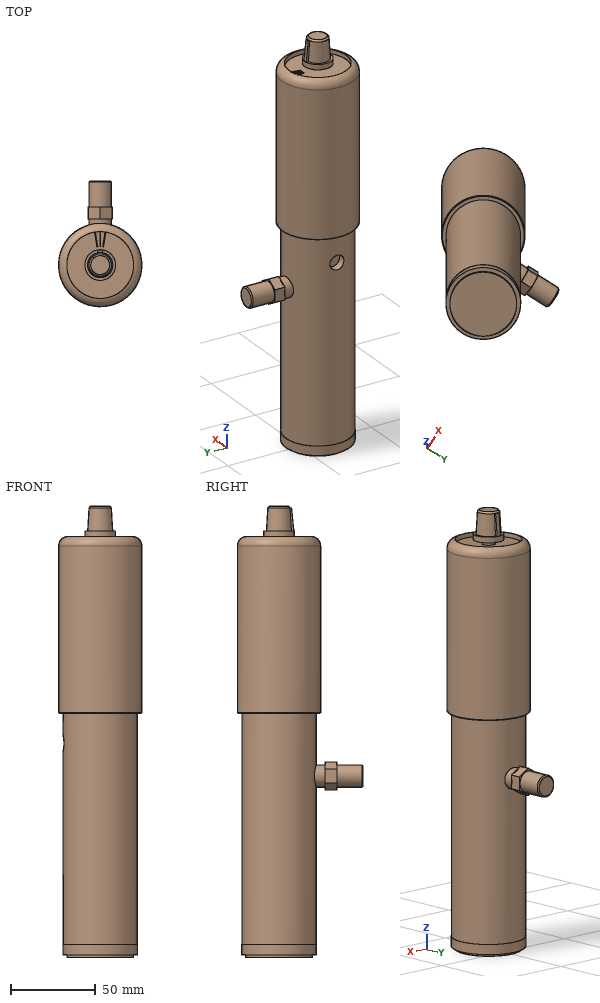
import cadquery as cq
import math

TOTAL_HEIGHT = 268.0
CAP_DIAMETER = 49.5
TOTAL_DEPTH = 74.8
CAP_RADIUS = CAP_DIAMETER / 2
PORT_REACH = TOTAL_DEPTH - CAP_RADIUS

BODY_DIAMETER = 44.2
BODY_RADIUS = BODY_DIAMETER / 2
END_RING_RADIUS = 22.2
END_RING_TOP = 7.8
FOOT_RADIUS = 19.8
FOOT_HEIGHT = 1.5

CAP_BOTTOM = 145.0
CAP_TOP = 250.0
SHOULDER_RADIUS = 6.0
CAP_BOTTOM_CHAMFER = 0.5
RECESS_RADIUS = 19.8
RECESS_DEPTH = 3.0

SPINDLE_RADIUS = 4.0
COLLAR_RADIUS = 9.0
COLLAR_BOTTOM = 249.8
COLLAR_TOP = 253.3
KNOB_BOTTOM_RADIUS = 7.5
KNOB_TOP_RADIUS = 6.7
KNOB_CHAMFER = 1.0
POINTER_WIDTH = 2.7
POINTER_BOTTOM_REACH = 8.8
POINTER_TOP_REACH = 7.5

MARK_ANGLES = (-9, 0, 9)
MARK_WIDTH = 0.5
MARK_DEPTH = 0.3
MARK_START = 11.0

PORT_HEIGHT = 107.7
PORT_RADIUS = 6.7
PORT_CHAMFER = 0.8
HEX_SIDES = 6
HEX_FLATS = 14.5
HEX_TURN = 180 / HEX_SIDES
HEX_START = 27.3
HEX_LENGTH = 7.0

HOLE_HEIGHT = 127.3
HOLE_RADIUS = 4.8
HOLE_DEPTH = 5.4

FLOOR_HEIGHT = CAP_TOP - RECESS_DEPTH


def cylinder(radius, bottom, top):
    return cq.Workplane("XY").workplane(offset=bottom).circle(radius).extrude(top - bottom)


def make_body():
    foot = cylinder(FOOT_RADIUS, 0, FOOT_HEIGHT)
    end_ring = cylinder(END_RING_RADIUS, FOOT_HEIGHT, END_RING_TOP)
    return foot.union(end_ring).union(cylinder(BODY_RADIUS, END_RING_TOP, CAP_BOTTOM))


def make_cap():
    cap = cylinder(CAP_RADIUS, CAP_BOTTOM, CAP_TOP)
    cap = cap.faces(">Z").edges().fillet(SHOULDER_RADIUS)
    cap = cap.faces("<Z").edges().chamfer(CAP_BOTTOM_CHAMFER)
    return cap.cut(cylinder(RECESS_RADIUS, FLOOR_HEIGHT, CAP_TOP))


def make_knob():
    """Spindle, collar, tapered grip and the pointer rib on the +Y side."""
    spindle = cylinder(SPINDLE_RADIUS, FLOOR_HEIGHT, COLLAR_BOTTOM)
    collar = cylinder(COLLAR_RADIUS, COLLAR_BOTTOM, COLLAR_TOP)
    chamfer_bottom = TOTAL_HEIGHT - KNOB_CHAMFER
    grip = (
        cq.Workplane("XZ")
        .moveTo(0, COLLAR_TOP)
        .lineTo(KNOB_BOTTOM_RADIUS, COLLAR_TOP)
        .lineTo(KNOB_TOP_RADIUS, chamfer_bottom)
        .lineTo(KNOB_TOP_RADIUS - KNOB_CHAMFER, TOTAL_HEIGHT)
        .lineTo(0, TOTAL_HEIGHT)
        .close()
        .revolve(360, (0, 0), (0, 1))
    )
    pointer = (
        cq.Workplane("YZ")
        .moveTo(0, COLLAR_TOP)
        .lineTo(POINTER_BOTTOM_REACH, COLLAR_TOP)
        .lineTo(POINTER_TOP_REACH, chamfer_bottom)
        .lineTo(0, chamfer_bottom)
        .close()
        .extrude(POINTER_WIDTH / 2, both=True)
    )
    return spindle.union(collar).union(grip).union(pointer)


def make_dial_mark(angle):
    length = RECESS_RADIUS - MARK_START
    return (
        cq.Workplane("XY")
        .box(MARK_WIDTH, length, MARK_DEPTH, centered=(True, False, False))
        .translate((0, MARK_START, FLOOR_HEIGHT - MARK_DEPTH))
        .rotate((0, 0, 0), (0, 0, 1), angle)
    )


def make_port():
    """Stub along +Y, running from the body axis through a hexagon to a chamfered end."""
    port_plane = cq.Workplane("XZ", origin=(0, 0, PORT_HEIGHT))
    stub = port_plane.circle(PORT_RADIUS).extrude(-PORT_REACH).faces(">Y").chamfer(PORT_CHAMFER)
    hexagon = (
        port_plane.workplane(offset=-HEX_START)
        .polygon(HEX_SIDES, HEX_FLATS / math.cos(math.pi / HEX_SIDES))
        .extrude(-HEX_LENGTH)
        .rotate((0, 0, PORT_HEIGHT), (0, 1, PORT_HEIGHT), HEX_TURN)
    )
    return stub.union(hexagon)


def make_side_hole():
    start = cq.Workplane("YZ", origin=(-BODY_RADIUS, 0, HOLE_HEIGHT))
    return start.circle(HOLE_RADIUS).extrude(HOLE_DEPTH)


result = make_body().union(make_cap()).union(make_knob()).union(make_port())
result = result.cut(make_side_hole())
for mark_angle in MARK_ANGLES:
    result = result.cut(make_dial_mark(mark_angle))